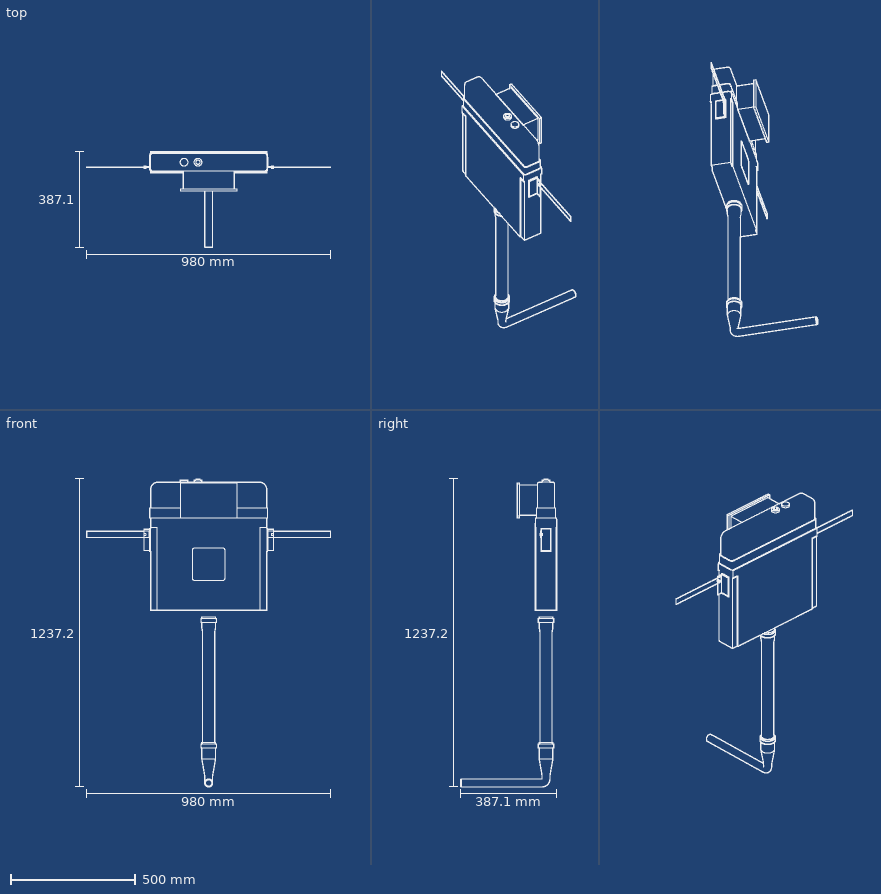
import cadquery as cq


total_width = 980.0
total_height = 1237.25
total_depth = 387.1
back_y = 43.55
outlet_end_y = back_y - total_depth

casing_width = 467.0
casing_bottom_z = 710.0
casing_top_z = 1080.0
panel_half_depth = back_y
panel_width = 414.0
corner_half_depth = 39.5
band_height = 37.0
band_top_half_depth = 43.0

tank_width = 467.0
tank_depth = 70.0
tank_top_z = 1225.0
tank_corner_radius = 30.0
tank_edge_radius = 9.0
collar_width = 474.0
collar_depth = 77.0
collar_top_z = 1121.0
collar_corner_radius = 10.0

plaque_size = 130.0
plaque_center_z = 895.0
plaque_corner_radius = 8.0
plaque_thickness = 1.5

button_diameter = 31.0
button_top_z = 1233.0
button_cap_diameter = 17.0
plain_button_x = -99.0
capped_button_x = -43.0

shaft_width = 206.0
shaft_bottom_z = 1091.0
shaft_top_z = 1214.0
shaft_front_y = -107.0
flange_width = 228.0
flange_bottom_z = 1080.0
flange_top_z = 1222.0
flange_thickness = 9.5

pad_depth = 41.0
pad_bottom_z = 947.0
pad_top_z = 1039.0
pad_thickness = 3.5
bracket_inset = 2.5
bracket_front_inset = 1.0
wall_plate_thickness = 1.5
bracket_reach = 27.0
bracket_thickness = 2.0
strap_height = 26.0
strap_thickness = 2.0
strap_center_z = 1014.5
strap_clearance = 2.0
bolt_x = 256.0
bolt_diameter = 9.0
bolt_front_overhang = 3.5
bolt_back_overhang = 3.0

pipe_diameter = 50.0
socket_diameter = 56.0
ring_diameter = 63.0
pipe_top_z = 684.0
pipe_ring_top_z = 677.0
pipe_ring_bottom_z = 661.0
pipe_socket_bottom_z = 639.0
pipe_taper_bottom_z = 624.0

elbow_top_z = 178.0
elbow_ring_top_z = 172.0
elbow_ring_bottom_z = 157.0
elbow_socket_bottom_z = 112.5
reducer_bottom_z = 45.0
outlet_radius = 16.25
bend_radius = 16.75
outlet_chamfer = 3.5


def box(width, depth, bottom_z, top_z):
    """Upright box centred on the Z axis."""
    height = top_z - bottom_z
    return cq.Workplane("XY").workplane(offset=bottom_z).rect(width, depth).extrude(height)


def box_between(x_range, y_range, z_range):
    """Box given by its limits along X, Y and Z."""
    lows, highs = zip(x_range, y_range, z_range)
    sizes = [high - low for low, high in zip(lows, highs)]
    return cq.Workplane("XY").box(*sizes, centered=False).translate(lows)


def revolve_about_z(points):
    """Solid of revolution from (radius, z) points."""
    return cq.Workplane("XZ").polyline(points).close().revolve(360, (0, 0, 0), (0, 1, 0))


def make_casing():
    band_bottom_z = casing_top_z - band_height
    corners = box(casing_width, 2 * corner_half_depth, casing_bottom_z, casing_top_z)
    panels = box(panel_width, 2 * panel_half_depth, casing_bottom_z, band_bottom_z)
    band = (
        cq.Workplane("YZ")
        .polyline([
            (-panel_half_depth, band_bottom_z),
            (panel_half_depth, band_bottom_z),
            (band_top_half_depth, casing_top_z),
            (-band_top_half_depth, casing_top_z),
        ])
        .close()
        .extrude(casing_width / 2, both=True)
    )
    return corners.union(panels).union(band)


def make_plaque():
    return (
        cq.Workplane("XZ", origin=(0, -panel_half_depth, plaque_center_z))
        .rect(plaque_size, plaque_size)
        .extrude(plaque_thickness)
        .edges("|Y")
        .fillet(plaque_corner_radius)
    )


def make_tank():
    tank = (
        box(tank_width, tank_depth, casing_top_z, tank_top_z)
        .edges("|Y and >Z")
        .fillet(tank_corner_radius)
    )
    return tank.faces("<Y or >Y").edges("not <Z").fillet(tank_edge_radius)


def make_collar():
    return (
        box(collar_width, collar_depth, casing_top_z, collar_top_z)
        .edges("|Z")
        .fillet(collar_corner_radius)
    )


def make_button(x, diameter, top_z):
    return (
        cq.Workplane("XY", origin=(x, 0, tank_top_z))
        .circle(diameter / 2)
        .extrude(top_z - tank_top_z)
    )


def make_cistern():
    cistern = make_casing().union(make_plaque()).union(make_tank()).union(make_collar())
    for x in (plain_button_x, capped_button_x):
        cistern = cistern.union(make_button(x, button_diameter, button_top_z))
    return cistern.union(make_button(capped_button_x, button_cap_diameter, total_height))


def make_access_shaft(cistern):
    shaft = box_between(
        (-shaft_width / 2, shaft_width / 2),
        (shaft_front_y, -tank_depth / 2),
        (shaft_bottom_z, shaft_top_z),
    )
    flange = box_between(
        (-flange_width / 2, flange_width / 2),
        (shaft_front_y - flange_thickness, shaft_front_y),
        (flange_bottom_z, flange_top_z),
    )
    return shaft.union(flange).cut(cistern)


def make_hanger():
    """Hanger on the +X side."""
    wall_x = casing_width / 2
    pad_x = wall_x + pad_thickness
    bracket_front_y = -pad_depth / 2 + bracket_front_inset
    strap_front_y = bracket_front_y - strap_thickness
    pad = box_between(
        (wall_x, pad_x),
        (-pad_depth / 2, pad_depth / 2),
        (pad_bottom_z, pad_top_z),
    )
    bracket_z_range = (pad_bottom_z + bracket_inset, pad_top_z - bracket_inset)
    wall_plate = box_between(
        (wall_x, pad_x + wall_plate_thickness),
        (bracket_front_y, pad_depth / 2 - bracket_inset),
        bracket_z_range,
    )
    bracket = box_between(
        (wall_x, wall_x + bracket_reach),
        (bracket_front_y, bracket_front_y + bracket_thickness),
        bracket_z_range,
    )
    strap = box_between(
        (pad_x + strap_clearance, total_width / 2),
        (strap_front_y, bracket_front_y),
        (strap_center_z - strap_height / 2, strap_center_z + strap_height / 2),
    )
    bolt_length = strap_thickness + bracket_thickness + bolt_front_overhang + bolt_back_overhang
    bolt = (
        cq.Workplane("XZ", origin=(bolt_x, strap_front_y - bolt_front_overhang, strap_center_z))
        .circle(bolt_diameter / 2)
        .extrude(-bolt_length)
    )
    return pad.union(wall_plate).union(bracket).union(strap).union(bolt)


def make_flush_pipe():
    pipe_radius = pipe_diameter / 2
    socket_radius = socket_diameter / 2
    ring_radius = ring_diameter / 2
    return revolve_about_z([
        (0, elbow_socket_bottom_z),
        (pipe_radius, elbow_socket_bottom_z),
        (pipe_radius, pipe_taper_bottom_z),
        (socket_radius, pipe_socket_bottom_z),
        (socket_radius, pipe_ring_bottom_z),
        (ring_radius, pipe_ring_bottom_z),
        (ring_radius, pipe_ring_top_z),
        (socket_radius, pipe_ring_top_z),
        (socket_radius, pipe_top_z),
        (0, pipe_top_z),
    ])


def make_elbow():
    socket_radius = socket_diameter / 2
    ring_radius = ring_diameter / 2
    bend_top_z = outlet_radius + bend_radius
    reducer = revolve_about_z([
        (0, bend_top_z),
        (outlet_radius, bend_top_z),
        (outlet_radius, reducer_bottom_z),
        (socket_radius, elbow_socket_bottom_z),
        (socket_radius, elbow_ring_bottom_z),
        (ring_radius, elbow_ring_bottom_z),
        (ring_radius, elbow_ring_top_z),
        (socket_radius, elbow_ring_top_z),
        (socket_radius, elbow_top_z),
        (pipe_diameter / 2, elbow_top_z),
        (pipe_diameter / 2, elbow_socket_bottom_z),
        (0, elbow_socket_bottom_z),
    ])
    bend = (
        cq.Workplane("XY", origin=(0, 0, bend_top_z))
        .circle(outlet_radius)
        .revolve(90, (0, -bend_radius, 0), (-1, -bend_radius, 0))
    )
    outlet = (
        cq.Workplane("XZ", origin=(0, -bend_radius, outlet_radius))
        .circle(outlet_radius)
        .extrude(-bend_radius - outlet_end_y)
        .faces("<Y")
        .chamfer(outlet_chamfer)
    )
    return reducer.union(bend).union(outlet)


cistern = make_cistern()
access_shaft = make_access_shaft(cistern)
right_hanger = make_hanger()
hangers = [right_hanger, right_hanger.mirror("YZ")]
flush_pipe = make_flush_pipe()
elbow = make_elbow()

result = cq.Compound.makeCompound([
    cistern.val(),
    access_shaft.val(),
    *[hanger.val() for hanger in hangers],
    flush_pipe.val(),
    elbow.val(),
])